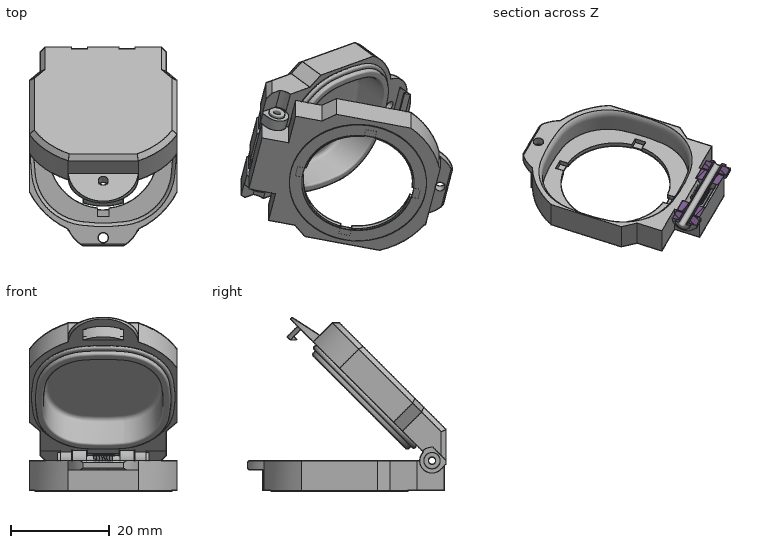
import cadquery as cq
import math

HALF_WIDTH = 14.945
CORNER_RADIUS = 16.8
FRONT_HALF_WIDTH = 7.1
WAIST_HALF_WIDTH = 12.75
WAIST_START_Y = 10.25
OPENING_BULGE = 20.1
OPENING_JOIN = 7.5

LIP_HEIGHT = 0.25
LIP_RADIUS = 27.7 / 2
LIP_HOLE_RADIUS = 11.35
BASE_TOP = 6.25
FLOOR_TOP = 1.3
FLOOR_HOLE_RADIUS = 11.02
WAIST_REAR = 15.7
POCKET_HALF = 14.0
POCKET_RIM_ROUND = 2.0
POCKET_RIM_FLARE = 0.72
NOTCH_WIDTH = 2.25
NOTCH_REACH = 12.7
NOTCH_COUNT = 4
FRONT_PAD_Y = -15.53
CATCH_TAB_FRONT = -18.63
CATCH_TAB_FRONT_HALF = 4.1
CATCH_TAB_THICKNESS = 1.85
CATCH_TAB_CHAMFER = 0.35
CATCH_TAB_SIDE_MID = (5.87, -17.15)
TAB_HOLE_DIAMETER = 2.0
TAB_HOLE_Y = -16.98

HINGE_Y = 18.7
HINGE_Z = BASE_TOP
KNUCKLE_RADIUS = 2.5
SLEEVE_DIAMETER = 2.0
SLEEVE_BORE = 1.4
FLANGE_DIAMETER = 3.3
FLANGE_THICKNESS = 0.55
FLANGE_ROUND = 0.15
BORE_ROUND = 0.3
BASE_KNUCKLE_INNER = 3.35
BASE_KNUCKLE_OUTER = 6.25
LID_KNUCKLE_INNER = 6.4
LID_KNUCKLE_OUTER = 8.7
SPRING_RADIUS = 1.3
SPRING_WIRE = 0.3
SPRING_PITCH = 0.58
SPRING_TURNS = 7.5
SPRING_LEG_OVERLAP = 0.1
SPRING_WELL_RADIUS = 2.0

LID_HEIGHT = 6.48
LID_CHAMFER = 1.0
LID_SLANT_START = 1.55
LID_OPENING_ANGLE = 45.0
LID_RELIEF_RADIUS = 2.75
LID_RELIEF_HEIGHT = 2.05
KNUCKLE_SLOT_CLEARANCE = 0.12
KNUCKLE_SLOT_RADIUS = 2.98
KNUCKLE_SLOT_GAP = 0.05
PLUG_HALF = 13.68
PLUG_DEPTH = 2.0
BEAD_HALF = 14.5
BEAD_HEIGHT = 0.95
BEAD_ROUND = 0.45
RECESS_HALF = 12.05
RECESS_TOP = 5.0
RECESS_TOP_ROUND = 0.93
RECESS_MOUTH_ROUND = 0.4
LID_TAB_RADIUS = 7.1
LID_TAB_TIP = -21.8
LID_TAB_ROOT_THICKNESS = 1.9
LID_TAB_TIP_THICKNESS = 0.5
HOOK_BACK = -18.8
HOOK_FRONT = -19.7
HOOK_HALF_WIDTH = 4.05
HOOK_DEPTH = 3.0
HOOK_BARB_REACH = 0.85
HOOK_BARB_HEIGHT = 1.05

FRONT_Y = -math.sqrt(CORNER_RADIUS**2 - FRONT_HALF_WIDTH**2)
SIDE_END_Y = math.sqrt(CORNER_RADIUS**2 - HALF_WIDTH**2)
HINGE_REAR = HINGE_Y + KNUCKLE_RADIUS


def arc_middle(start, end):
    """Point of the corner circle halfway between two of its points."""
    angle = math.atan2(start[1] + end[1], start[0] + end[0])
    return (CORNER_RADIUS * math.cos(angle), CORNER_RADIUS * math.sin(angle))


def case_plan(rear_y, bottom, top):
    """Prism of the common case outline: straight sides, round front corners and a narrower waist."""
    front = (FRONT_HALF_WIDTH, FRONT_Y)
    side_front = (HALF_WIDTH, -SIDE_END_Y)
    half = (
        cq.Workplane("XY", origin=(0, 0, bottom))
        .moveTo(0, FRONT_Y)
        .lineTo(*front)
        .threePointArc(arc_middle(front, side_front), side_front)
        .lineTo(HALF_WIDTH, SIDE_END_Y)
        .lineTo(WAIST_HALF_WIDTH, WAIST_START_Y)
        .lineTo(WAIST_HALF_WIDTH, rear_y)
        .lineTo(0, rear_y)
        .mirrorY()
    )
    return half.extrude(top - bottom)


def opening(half_size, bottom, top):
    """Prism with four bulging sides joined by tangent corner arcs."""
    join = math.radians(OPENING_JOIN)
    side_radius = half_size + OPENING_BULGE
    join_x = side_radius * math.cos(join) - OPENING_BULGE
    join_y = side_radius * math.sin(join)
    centre_distance = OPENING_BULGE / (math.cos(join) - math.sin(join))
    corner_radius = side_radius - centre_distance
    corner_mid = centre_distance * math.sin(join) + corner_radius * math.sqrt(0.5)

    outline = cq.Workplane("XY", origin=(0, 0, bottom)).moveTo(join_x, -join_y)
    for c, s in [(1, 0), (0, 1), (-1, 0), (0, -1)]:

        def turned(x, y):
            return (x * c - y * s, x * s + y * c)

        outline = outline.threePointArc(turned(half_size, 0), turned(join_x, join_y))
        outline = outline.threePointArc(turned(corner_mid, corner_mid), turned(join_y, join_x))
    return outline.close().extrude(top - bottom)


def box(x0, x1, y0, y1, z0, z1):
    return cq.Workplane("XY").box(x1 - x0, y1 - y0, z1 - z0, centered=False).translate((x0, y0, z0))


def hinge_cylinder(radius, x0, x1):
    return cq.Workplane("YZ", origin=(x0, HINGE_Y, HINGE_Z)).circle(radius).extrude(x1 - x0)


def hinge_profile(points, x0, x1):
    """Prism along X from (y, z) points measured from the hinge axis."""
    return cq.Workplane("YZ", origin=(x0, HINGE_Y, HINGE_Z)).polyline(points).close().extrude(x1 - x0)


def both_sides(solid):
    return solid.union(solid.mirror("YZ"))


def catch_tab():
    half = (
        cq.Workplane("XY", origin=(0, 0, BASE_TOP - CATCH_TAB_THICKNESS))
        .moveTo(0, FRONT_Y + 0.4)
        .lineTo(FRONT_HALF_WIDTH, FRONT_Y + 0.4)
        .lineTo(FRONT_HALF_WIDTH, FRONT_Y)
        .threePointArc(CATCH_TAB_SIDE_MID, (CATCH_TAB_FRONT_HALF, CATCH_TAB_FRONT))
        .lineTo(0, CATCH_TAB_FRONT)
        .mirrorY()
    )
    return half.extrude(CATCH_TAB_THICKNESS).faces("<Y").edges("|X").chamfer(CATCH_TAB_CHAMFER)


def rim_flare():
    """Ring that widens the pocket mouth along an arc, which the base's top face cuts off."""
    rise = math.sqrt(POCKET_RIM_ROUND**2 - (POCKET_RIM_ROUND - POCKET_RIM_FLARE) ** 2)
    bottom = BASE_TOP - rise - 0.4
    round_top = BASE_TOP - rise + POCKET_RIM_ROUND
    reach = CORNER_RADIUS * 2
    block = box(-reach, reach, -reach, reach, bottom, round_top)
    mouth = block.cut(opening(POCKET_HALF, bottom, round_top))
    inner_edges = cq.selectors.BoxSelector(
        (-CORNER_RADIUS, -CORNER_RADIUS, bottom), (CORNER_RADIUS, CORNER_RADIUS, round_top + 0.4)
    )
    mouth = mouth.faces(">Z").edges(inner_edges).fillet(POCKET_RIM_ROUND)
    return block.cut(mouth)


def build_base():
    pad_top = BASE_TOP - CATCH_TAB_THICKNESS
    body = case_plan(WAIST_REAR, LIP_HEIGHT, BASE_TOP)
    body = body.union(catch_tab())
    body = body.union(
        box(-FRONT_HALF_WIDTH, FRONT_HALF_WIDTH, FRONT_PAD_Y, FRONT_Y + 0.4, LIP_HEIGHT, pad_top)
    )
    body = body.union(cq.Workplane("XY").circle(LIP_RADIUS).extrude(LIP_HEIGHT))

    body = body.union(
        box(-BASE_KNUCKLE_OUTER, BASE_KNUCKLE_OUTER, WAIST_REAR, HINGE_REAR, LIP_HEIGHT, BASE_TOP)
    )
    knuckle = hinge_cylinder(KNUCKLE_RADIUS, BASE_KNUCKLE_INNER, BASE_KNUCKLE_OUTER)
    body = body.union(both_sides(knuckle))
    body = body.cut(hinge_cylinder(SPRING_WELL_RADIUS, -BASE_KNUCKLE_INNER, BASE_KNUCKLE_INNER))
    body = body.cut(hinge_cylinder(SLEEVE_DIAMETER / 2, -HALF_WIDTH, HALF_WIDTH))

    body = body.cut(opening(POCKET_HALF, FLOOR_TOP, BASE_TOP))
    body = body.cut(rim_flare())
    body = body.cut(cq.Workplane("XY").circle(FLOOR_HOLE_RADIUS).extrude(FLOOR_TOP))
    body = body.cut(cq.Workplane("XY").circle(LIP_HOLE_RADIUS).extrude(LIP_HEIGHT))
    for index in range(NOTCH_COUNT):
        notch = box(0, NOTCH_REACH, -NOTCH_WIDTH / 2, NOTCH_WIDTH / 2, LIP_HEIGHT, FLOOR_TOP)
        body = body.cut(notch.rotate((0, 0, 0), (0, 0, 1), index * 360 / NOTCH_COUNT))
    return body.cut(
        cq.Workplane("XY").center(0, TAB_HOLE_Y).circle(TAB_HOLE_DIAMETER / 2).extrude(BASE_TOP)
    )


def lid_shell():
    top = HINGE_Z + LID_HEIGHT
    run = LID_HEIGHT - LID_SLANT_START
    slant_top = HINGE_REAR - run
    slant = hinge_profile(
        [
            (KNUCKLE_RADIUS, LID_SLANT_START),
            (KNUCKLE_RADIUS, LID_HEIGHT),
            (KNUCKLE_RADIUS - run, LID_HEIGHT),
        ],
        -HALF_WIDTH,
        HALF_WIDTH,
    )
    shell = case_plan(HINGE_REAR, HINGE_Z, top).cut(slant)
    top_edges = shell.faces(">Z").edges("not(|X and >Y)")
    slant_edges = shell.edges(
        cq.selectors.BoxSelector(
            (-HALF_WIDTH, slant_top + 0.4, HINGE_Z + LID_SLANT_START + 0.4),
            (HALF_WIDTH, HINGE_REAR - 0.4, top - 0.4),
        )
    )
    return shell.newObject(top_edges.vals() + slant_edges.vals()).chamfer(LID_CHAMFER)


def lid_tab():
    """Round finger tab that thins toward its tip."""
    tab = (
        cq.Workplane("XY", origin=(0, 0, HINGE_Z))
        .center(0, LID_TAB_TIP + LID_TAB_RADIUS)
        .circle(LID_TAB_RADIUS)
        .extrude(LID_TAB_ROOT_THICKNESS)
    )
    wedge = (
        cq.Workplane("YZ", origin=(-LID_TAB_RADIUS, 0, HINGE_Z))
        .polyline(
            [
                (FRONT_Y, 0),
                (FRONT_Y, LID_TAB_ROOT_THICKNESS),
                (LID_TAB_TIP, LID_TAB_TIP_THICKNESS),
                (LID_TAB_TIP, 0),
            ]
        )
        .close()
        .extrude(2 * LID_TAB_RADIUS)
    )
    hole = (
        cq.Workplane("XY", origin=(0, TAB_HOLE_Y, HINGE_Z))
        .circle(TAB_HOLE_DIAMETER / 2)
        .extrude(LID_TAB_ROOT_THICKNESS)
    )
    return tab.intersect(wedge).cut(hole)


def hook():
    """Post with a bowed front and a barb that catches under the base's tab."""
    low = HINGE_Z - HOOK_DEPTH
    barb_tip = HOOK_BACK + HOOK_BARB_REACH
    post = (
        cq.Workplane("XY", origin=(0, 0, low))
        .moveTo(-HOOK_HALF_WIDTH, HOOK_BACK)
        .threePointArc((0, HOOK_FRONT), (HOOK_HALF_WIDTH, HOOK_BACK))
        .close()
        .extrude(HOOK_DEPTH)
    )
    barb = (
        cq.Workplane("YZ", origin=(-HOOK_HALF_WIDTH, 0, 0))
        .polyline(
            [
                (HOOK_BACK, low),
                (barb_tip, low + HOOK_BARB_REACH),
                (barb_tip, low + HOOK_BARB_HEIGHT),
                (HOOK_BACK, low + HOOK_BARB_HEIGHT),
            ]
        )
        .close()
        .extrude(2 * HOOK_HALF_WIDTH)
    )
    return post.union(barb)


def lid_hinge_reliefs():
    """Space for the base beside, between and inside the lid knuckles."""

    def relief(radius, x0, x1):
        flat = box(x0, x1, HINGE_Y, HINGE_REAR, HINGE_Z, HINGE_Z + LID_RELIEF_HEIGHT)
        return hinge_cylinder(radius, x0, x1).union(flat)

    reach = 2 * LID_RELIEF_RADIUS
    ceiling = box(
        -HALF_WIDTH, HALF_WIDTH, HINGE_Y - reach, HINGE_Y + reach,
        HINGE_Z - reach, HINGE_Z + LID_RELIEF_HEIGHT,
    )
    slot_inner = BASE_KNUCKLE_INNER - KNUCKLE_SLOT_CLEARANCE
    side = relief(LID_RELIEF_RADIUS, LID_KNUCKLE_OUTER, HALF_WIDTH).intersect(ceiling)
    slot = relief(KNUCKLE_SLOT_RADIUS, slot_inner, LID_KNUCKLE_INNER)
    return both_sides(side.union(slot)).union(relief(SPRING_WELL_RADIUS, -slot_inner, slot_inner))


def lid_rear_slots():
    """Upright slots that keep the open lid clear of the base knuckles."""
    slot_inner = BASE_KNUCKLE_INNER - KNUCKLE_SLOT_CLEARANCE
    low = HINGE_Z - LID_RELIEF_HEIGHT
    rear = HINGE_REAR + KNUCKLE_RADIUS
    upright = box(
        slot_inner, LID_KNUCKLE_INNER, HINGE_REAR + KNUCKLE_SLOT_GAP, rear, low, HINGE_Z + 2 * LID_HEIGHT
    )
    passage = box(slot_inner, LID_KNUCKLE_INNER, HINGE_Y, rear, low, HINGE_Z + LID_RELIEF_HEIGHT)
    return both_sides(upright.union(passage))


def build_lid():
    plug_bottom = HINGE_Z - PLUG_DEPTH
    body = lid_shell()
    body = body.cut(lid_hinge_reliefs())
    knuckle = hinge_cylinder(KNUCKLE_RADIUS, LID_KNUCKLE_INNER, LID_KNUCKLE_OUTER)
    body = body.union(both_sides(knuckle))

    body = body.union(opening(PLUG_HALF, plug_bottom, HINGE_Z))
    bead = opening(BEAD_HALF, HINGE_Z - BEAD_HEIGHT, HINGE_Z)
    body = body.union(bead.faces("<Z or >Z").edges().fillet(BEAD_ROUND))
    recess = opening(RECESS_HALF, plug_bottom, HINGE_Z + RECESS_TOP)
    body = body.cut(recess.faces(">Z").edges().fillet(RECESS_TOP_ROUND))
    mouth_reach = (RECESS_HALF + PLUG_HALF) / 2
    mouth = cq.selectors.BoxSelector((-mouth_reach, -mouth_reach, 0), (mouth_reach, mouth_reach, HINGE_Z))
    body = body.faces("<Z").edges(mouth).fillet(RECESS_MOUTH_ROUND)

    body = body.union(lid_tab()).union(hook())
    body = body.cut(hinge_cylinder(SLEEVE_DIAMETER / 2, -HALF_WIDTH, HALF_WIDTH))
    body = body.rotate((0, HINGE_Y, HINGE_Z), (1, HINGE_Y, HINGE_Z), -LID_OPENING_ANGLE)
    return body.cut(lid_rear_slots())


def coil_spring():
    """Helical wire along the hinge axis with a radial leg into the sleeve at each end."""
    length = SPRING_PITCH * SPRING_TURNS
    path = cq.Wire.makeHelix(SPRING_PITCH, length, SPRING_RADIUS)
    coil = (
        cq.Workplane("XZ", origin=(SPRING_RADIUS, 0, 0))
        .circle(SPRING_WIRE / 2)
        .sweep(cq.Workplane(obj=path), isFrenet=True)
    )
    leg = cq.Workplane("YZ").circle(SPRING_WIRE / 2).extrude(SPRING_RADIUS)
    end_leg = leg.rotate((0, 0, 0), (0, 0, 1), 360 * SPRING_TURNS).translate((0, 0, length))
    core = (
        cq.Workplane("XY", origin=(0, 0, -0.4))
        .circle(SLEEVE_DIAMETER / 2 - SPRING_LEG_OVERLAP)
        .extrude(length + 0.8)
    )
    spring = coil.union(leg).union(end_leg).cut(core)
    return spring.rotate((0, 0, 0), (0, 1, 0), 90).translate((-length / 2, HINGE_Y, HINGE_Z))


def build_sleeve():
    end = LID_KNUCKLE_OUTER + FLANGE_THICKNESS
    tube = hinge_cylinder(SLEEVE_DIAMETER / 2, 0, end)
    flange = hinge_cylinder(FLANGE_DIAMETER / 2, LID_KNUCKLE_OUTER, end)
    half = tube.union(flange).cut(hinge_cylinder(SLEEVE_BORE / 2, 0, end))
    outer_rim = half.faces(">X").edges(cq.selectors.RadiusNthSelector(1))
    half = half.newObject(outer_rim.vals()).fillet(FLANGE_ROUND)
    bore_rim = half.faces(">X").edges(cq.selectors.RadiusNthSelector(0))
    half = half.newObject(bore_rim.vals()).fillet(BORE_ROUND)
    return both_sides(half).union(coil_spring())


base = build_base()
lid = build_lid()
sleeve = build_sleeve()
result = cq.Compound.makeCompound([*base.solids().vals(), *lid.solids().vals(), *sleeve.solids().vals()])